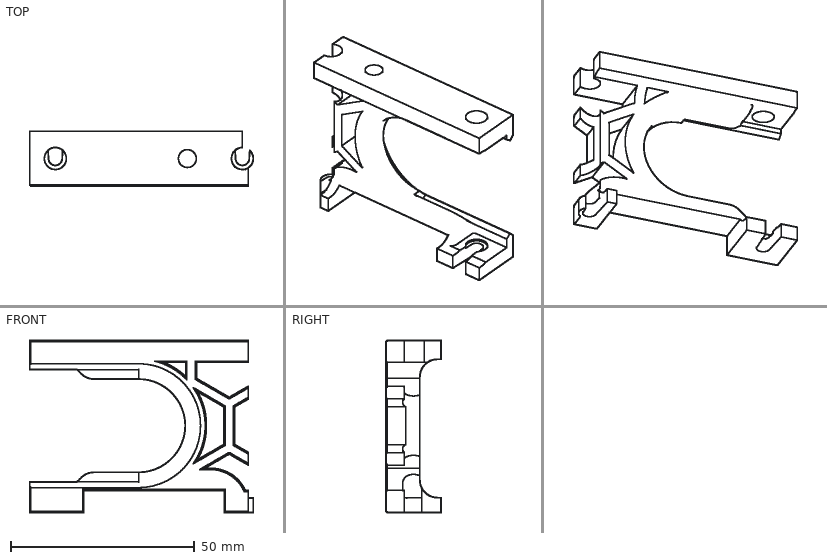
import cadquery as cq
import math

body_length = 59.65
depth = 15.0
height = 47.0
beam_thickness = 6.0
front_chamfer = 0.35
stock_end_x = 64.05

left_foot_length = 14.8
right_foot_start = 53.0

screw_y = depth / 2
left_screw_x = 7.0
screw_spacing = 51.0
right_screw_x = left_screw_x + screw_spacing
head_radius = 3.0
head_seat_z = 4.0
slot_radius = 1.8
slot_back_half_width = 2.25
pilot_x = 43.0
pilot_radius = 2.45
pilot_depth = 5.0

bore_x = 29.7
bore_z = 23.7
bore_radius = 12.7
bore_mouth_radius = 16.9
ring_radius = 18.55
hub_depth = 9.3
bore_back_round = 1.0
cone_depth = bore_mouth_radius - bore_radius

lip_nose_y = 1.6
lip_back_y = 3.1
lip_back_r = 16.4
flat_end_y = 6.45

pocket_floor_z = 4.5
pocket_roof_z = 41.55
flank_top_x = 17.5
flank_arc = 4.75
flank_straight = 1.2
pocket_corner_fillet = 0.85

scoop_floor_z = 4.15
scoop_roof_z = 41.8
scoop_radius = 4.7

cell_side = 12.0
strut_width = 3.0
cell_pitch = cell_side * math.cos(math.radians(30))
outer_strut_x = 54.4
inner_strut_x = outer_strut_x - cell_pitch

arch_x = 49.35
arch_z = 1.75
arch_radius = 10.4
arch_ledge_z = 6.1


def block(x0, x1, y0, y1, z0, z1):
    """Box given by its limits along each axis."""
    return cq.Workplane("XY").box(x1 - x0, y1 - y0, z1 - z0, centered=False).translate((x0, y0, z0))


def upright(x, radius, z0, z1):
    """Vertical cylinder on the screw line."""
    return cq.Workplane("XY", origin=(x, screw_y, z0)).circle(radius).extrude(z1 - z0)


def crosswise(x, z, radius):
    """Full-depth cylinder parallel to Y."""
    return cq.Workplane("XZ", origin=(x, 0, z)).circle(radius).extrude(-depth)


def strut(start, end):
    """Full-depth bar between two (x, z) points."""
    dx = end[0] - start[0]
    dz = end[1] - start[1]
    bar = cq.Workplane("XZ").rect(math.hypot(dx, dz), strut_width).extrude(-depth)
    bar = bar.rotate((0, 0, 0), (0, 1, 0), -math.degrees(math.atan2(dz, dx)))
    return bar.translate(((start[0] + end[0]) / 2, 0, (start[1] + end[1]) / 2))


def lattice():
    """Honeycomb struts, mirrored about the height of the bore axis."""
    outer_end_x = outer_strut_x + cell_pitch
    upper = (outer_strut_x, bore_z + cell_side / 2)
    lower = (outer_strut_x, bore_z - cell_side / 2)
    hanger_foot = (inner_strut_x, bore_z + cell_side - strut_width / 2)
    struts = strut(lower, upper)
    struts = struts.union(strut(hanger_foot, (inner_strut_x, height)))
    for node, side in ((upper, 1), (lower, -1)):
        far_z = bore_z + side * cell_side
        struts = struts.union(strut(node, (inner_strut_x, far_z)))
        struts = struts.union(strut(node, (outer_end_x, far_z)))
    return struts


def shoulder():
    """Solid web under the ring, ending in the arch over the right foot."""
    web = block(bore_x, arch_x, 0, depth, 0, arch_z + arch_radius)
    ledge = block(arch_x, stock_end_x, 0, depth, 0, arch_ledge_z)
    return web.union(crosswise(arch_x, arch_z, arch_radius)).union(ledge)


def chamfer_front(body):
    """Chamfer every edge of the front face."""
    return body.faces("<Y").edges().chamfer(front_chamfer)


def frame():
    """Block with its openings, all front edges chamfered.

    Each opening is cut and chamfered in an oversize plate of its own, then the plates are intersected.
    """
    windows = block(bore_x, stock_end_x, 0, depth, beam_thickness, height - beam_thickness)
    windows = windows.cut(crosswise(bore_x, bore_z, ring_radius)).cut(lattice()).cut(shoulder())
    body = chamfer_front(
        block(0, stock_end_x, 0, depth, 0, height)
        .cut(block(left_foot_length, right_foot_start, 0, depth, 0, beam_thickness))
    )
    margin = 4 * front_chamfer
    plate = block(-margin, stock_end_x + margin, 0, depth, -margin, height + margin)
    for window in windows.solids().vals():
        body = body.intersect(chamfer_front(plate.cut(cq.Workplane(window))))
    return body


def bore():
    """Conical mouth and straight bore, revolved about the bore axis."""
    profile = (
        cq.Workplane("XY")
        .lineTo(bore_mouth_radius, 0)
        .lineTo(bore_radius, cone_depth)
        .lineTo(bore_radius, hub_depth)
        .lineTo(0, hub_depth)
        .close()
    )
    return profile.revolve(360, (0, 0, 0), (0, 1, 0)).translate((bore_x, 0, bore_z))


def channel():
    """Straight mouth of the U, running from the bore axis to the open left end."""
    lip_nose_r = bore_mouth_radius - lip_nose_y
    half = (
        cq.Workplane("YZ")
        .lineTo(0, bore_mouth_radius)
        .lineTo(lip_nose_y, lip_nose_r)
        .lineTo(lip_back_y, lip_back_r)
        .lineTo(flat_end_y, bore_radius)
        .lineTo(hub_depth, bore_radius)
        .lineTo(hub_depth, 0)
        .close()
        .extrude(bore_x)
    )
    return half.union(half.mirror("XY")).translate((0, 0, bore_z))


def end_pocket():
    """Pocket behind the lip, open to the left, its flank curving up to the straight hub."""
    s45 = math.sin(math.radians(45))
    s22 = math.sin(math.radians(22.5))
    c22 = math.cos(math.radians(22.5))
    upper_end = (flank_top_x - flank_arc * s45, bore_radius + flank_arc * (1 - s45))
    upper_mid = (flank_top_x - flank_arc * s22, bore_radius + flank_arc * (1 - c22))
    lower_start = (upper_end[0] - flank_straight, upper_end[1] + flank_straight)
    lower_mid = (
        lower_start[0] - flank_arc * (c22 - s45),
        lower_start[1] + flank_arc * (s45 - s22),
    )
    lower_end = (lower_start[0] - flank_arc * (1 - s45), lower_start[1] + flank_arc * s45)
    half = (
        cq.Workplane("XZ", origin=(0, lip_back_y, 0))
        .lineTo(flank_top_x, 0)
        .lineTo(flank_top_x, bore_radius)
        .threePointArc(upper_mid, upper_end)
        .lineTo(*lower_start)
        .threePointArc(lower_mid, lower_end)
        .lineTo(lower_end[0], height / 2)
        .lineTo(0, height / 2)
        .close()
        .extrude(-depth)
    )
    half = half.faces("<Y").edges("%CIRCLE").fillet(pocket_corner_fillet)
    both = half.union(half.mirror("XY")).translate((0, 0, bore_z))
    both = both.intersect(block(0, bore_x, 0, depth, pocket_floor_z, pocket_roof_z))
    return both


def scoop():
    """Rounded trough along the whole back."""
    trough = block(0, stock_end_x, hub_depth, depth + scoop_radius, scoop_floor_z, scoop_roof_z)
    return trough.edges("|X and <Y").fillet(scoop_radius)


def right_end():
    """Stock beyond the right end, with a deeper step behind the screw line."""
    front = block(body_length, stock_end_x, 0, depth, 0, height)
    return front.union(block(right_screw_x, stock_end_x, screw_y, depth, 0, height))


def screw_slot(x):
    """Slot through a foot, widening toward the back."""
    tail = (
        cq.Workplane("XY")
        .polyline([
            (x - slot_radius, screw_y),
            (x + slot_radius, screw_y),
            (x + slot_back_half_width, depth),
            (x - slot_back_half_width, depth),
        ])
        .close()
        .extrude(arch_ledge_z)
    )
    return tail.union(upright(x, slot_radius, 0, arch_ledge_z))


result = frame().cut(bore()).cut(channel()).cut(end_pocket()).cut(scoop())

bore_back_arc = cq.selectors.NearestToPointSelector((bore_x + bore_radius, hub_depth, bore_z))
result = result.edges("%CIRCLE").edges(bore_back_arc).fillet(bore_back_round)

result = result.cut(right_end())
result = result.cut(upright(pilot_x, pilot_radius, height - pilot_depth, height))

result = result.union(upright(right_screw_x, head_radius, 0, head_seat_z))
for screw_x in (left_screw_x, right_screw_x):
    result = result.cut(upright(screw_x, head_radius, head_seat_z, height))
    result = result.cut(screw_slot(screw_x))